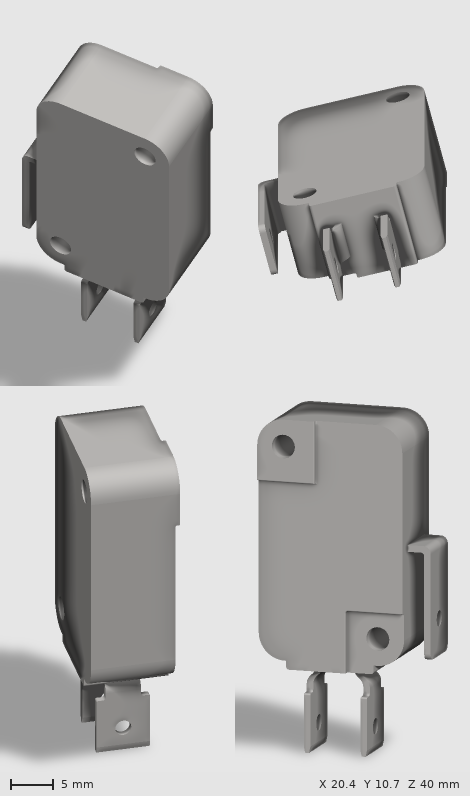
import cadquery as cq
import math


case_width = 17.55
case_height = 28.8
case_depth = 10.1
corner_radius = 3.2
mount_hole_dia = 2.8

foot_left = 3.7
foot_right = 14.2
foot_drop = 1.05
foot_corner_radius = 0.3

locator_width = 6.95
locator_height = 7.45
pad_rise = 0.55
recess_depth = 0.65
rim_radius = 0.1
root_radius = 0.2
recess_corner_radius = 0.3
overrun = 0.4
pick_margin = 0.05

sheet_thickness = 0.8
blade_width = 6.4
terminal_hole_dia = 1.9
terminal_mid_y = 5.08
embed_length = 0.8

tab_reach = 2.88
tab_top = 14.3
tab_bottom = 0.75
tab_hole_z = 5.15
tab_outer_bend = 0.85
tab_inner_bend = 0.35
tab_corner_radius = 0.8
tab_arm_inset = 0.1

blade_tip_z = -11.2
blade_hole_z = -8.2
shoulder_z = -4.15
neck_width = 4.25
neck_root_radius = 0.3
shoulder_radius = 0.2
blade_spacing = 6.9
tip_length = 0.75
tip_inset = 0.15
crank_offset = 1.15
crank_angle = 45.0
crank_bend_radius = 1.28
crank_bottom_z = -3.2

case_mid_x = case_width / 2
foot_bottom = -foot_drop


def block(x_min, x_max, y_min, y_max, z_min, z_max):
    """Axis-aligned box given by its limits."""
    size = (x_max - x_min, y_max - y_min, z_max - z_min)
    return cq.Workplane("XY").box(*size, centered=False).translate((x_min, y_min, z_min))


def case_outline_prism(y_min, y_max):
    """Rounded case outline together with the foot, between two depths."""
    body = block(0, case_width, y_min, y_max, 0, case_height).edges("|Y").fillet(corner_radius)
    foot = block(foot_left, foot_right, y_min, y_max, foot_bottom, corner_radius)
    foot = foot.edges("|Y and <Z").fillet(foot_corner_radius)
    return body.union(foot)


def mounting_holes():
    """Two through holes, concentric with opposite case corners."""
    centres = [
        (corner_radius, corner_radius),
        (case_width - corner_radius, case_height - corner_radius),
    ]
    length = case_depth + pad_rise
    holes = cq.Workplane("XZ").pushPoints(centres).circle(mount_hole_dia / 2)
    return holes.extrude(-length)


def case():
    """Case with a stepped back: a pad in the +X, +Z corner and a recess in the opposite one."""
    pad_left = case_width - locator_width
    pad_bottom = case_height - locator_height
    recess_top = foot_bottom + locator_height
    recess_floor_y = case_depth - recess_depth
    pad_face_y = case_depth + pad_rise

    x_min, x_max = -overrun, case_width + overrun
    z_min, z_max = foot_bottom - overrun, case_height + overrun
    blank = block(x_min, x_max, 0, case_depth, z_min, z_max)
    blank = blank.union(block(pad_left, x_max, 0, pad_face_y, pad_bottom, z_max))
    recess = block(x_min, locator_width, recess_floor_y, case_depth, z_min, recess_top)
    blank = blank.cut(recess.edges("|Y and >X and >Z").fillet(recess_corner_radius))

    def step_edges(x, z, y):
        """Edges at depth y lying on the two walls that meet at (x, z)."""
        y_low, y_high = y - pick_margin, y + pick_margin
        along_z = cq.selectors.BoxSelector(
            (x - pick_margin, y_low, z_min), (x + pick_margin, y_high, z_max)
        )
        along_x = cq.selectors.BoxSelector(
            (x_min, y_low, z - pick_margin), (x_max, y_high, z + pick_margin)
        )
        return along_z + along_x

    blank = blank.edges(step_edges(pad_left, pad_bottom, case_depth)).fillet(root_radius)
    blank = blank.edges(step_edges(pad_left, pad_bottom, pad_face_y)).fillet(rim_radius)
    blank = blank.edges(step_edges(locator_width, recess_top, recess_floor_y)).fillet(root_radius)
    blank = blank.edges(step_edges(locator_width, recess_top, case_depth)).fillet(rim_radius)

    return case_outline_prism(0, pad_face_y).intersect(blank).cut(mounting_holes())


def side_tab():
    """L-shaped tab leaving the left side of the case and bending down."""
    outer_x = -tab_reach
    inner_x = outer_x + sheet_thickness
    y_min = terminal_mid_y - blade_width / 2
    y_max = terminal_mid_y + blade_width / 2
    arm_bottom = tab_top - sheet_thickness

    arm = block(outer_x, embed_length, y_min, y_max, arm_bottom, tab_top)
    leg = block(outer_x, inner_x, y_min, y_max, tab_bottom, tab_top)
    leg = leg.edges("|X and <Z").fillet(tab_corner_radius)
    tab = arm.union(leg)
    tab = tab.edges("|Y and <X and >Z").fillet(tab_outer_bend)
    inner_corner = cq.selectors.NearestToPointSelector((inner_x, terminal_mid_y, arm_bottom))
    tab = tab.edges(inner_corner).fillet(tab_inner_bend)

    arm_start = outer_x + tab_outer_bend
    tab = tab.cut(block(arm_start, embed_length, y_max - tab_arm_inset, y_max, arm_bottom, tab_top))

    hole = cq.Workplane("YZ", origin=(outer_x, terminal_mid_y, tab_hole_z))
    return tab.cut(hole.circle(terminal_hole_dia / 2).extrude(sheet_thickness))


def blade_side_profile():
    """Edge-on shape of the right blade: a tapered tip, a straight leg and a crank to the case."""
    angle = math.radians(crank_angle)
    bend_x = crank_bend_radius * (1 - math.cos(angle))
    bend_z = crank_bend_radius * math.sin(angle)
    slope_x = crank_offset - 2 * bend_x
    slope_z = slope_x / math.tan(angle)

    leg_x = case_mid_x + blade_spacing / 2
    inner_x = leg_x - sheet_thickness / 2
    outer_x = leg_x + sheet_thickness / 2
    tip_top = blade_tip_z + tip_length

    def crank_points(x):
        """Bend limits from the leg up to the neck, for the face whose leg lies at x."""
        return [
            (x, crank_bottom_z),
            (x - bend_x, crank_bottom_z + bend_z),
            (x - bend_x - slope_x, crank_bottom_z + bend_z + slope_z),
            (x - crank_offset, crank_bottom_z + 2 * bend_z + slope_z),
        ]

    outer = crank_points(outer_x)
    inner = crank_points(inner_x)
    return (
        cq.Workplane("XZ")
        .moveTo(inner_x + tip_inset, blade_tip_z)
        .lineTo(outer_x - tip_inset, blade_tip_z)
        .lineTo(outer_x, tip_top)
        .lineTo(*outer[0])
        .tangentArcPoint(outer[1], relative=False)
        .lineTo(*outer[2])
        .tangentArcPoint(outer[3], relative=False)
        .lineTo(outer_x - crank_offset, embed_length)
        .lineTo(inner_x - crank_offset, embed_length)
        .lineTo(*inner[3])
        .tangentArcPoint(inner[2], relative=False)
        .lineTo(*inner[1])
        .tangentArcPoint(inner[0], relative=False)
        .lineTo(inner_x, tip_top)
        .close()
    )


def blade_face_prism():
    """Broadside shape of a blade, with rounded shoulders up to the narrow neck."""
    half_neck = neck_width / 2
    y_min = terminal_mid_y - blade_width / 2
    y_max = terminal_mid_y + blade_width / 2
    wide = block(0, case_width, y_min, y_max, blade_tip_z, shoulder_z)
    wide = wide.edges("|X and >Z").fillet(shoulder_radius)
    neck_y_min = terminal_mid_y - half_neck
    neck_y_max = terminal_mid_y + half_neck
    neck = block(0, case_width, neck_y_min, neck_y_max, shoulder_z, embed_length)
    prism = wide.union(neck)
    for root_y in (neck_y_min, neck_y_max):
        root = (case_mid_x, root_y, shoulder_z)
        prism = prism.edges(cq.selectors.NearestToPointSelector(root)).fillet(neck_root_radius)
    hole = cq.Workplane("YZ", origin=(0, terminal_mid_y, blade_hole_z))
    return prism.cut(hole.circle(terminal_hole_dia / 2).extrude(case_width))


def bottom_blades():
    """Pair of blade terminals mirrored about the middle of the case."""
    right = blade_side_profile().extrude(-case_depth).intersect(blade_face_prism())
    left = right.mirror("YZ", (case_mid_x, 0, 0))
    return right, left


result = case().union(side_tab())
for blade in bottom_blades():
    result = result.union(blade)